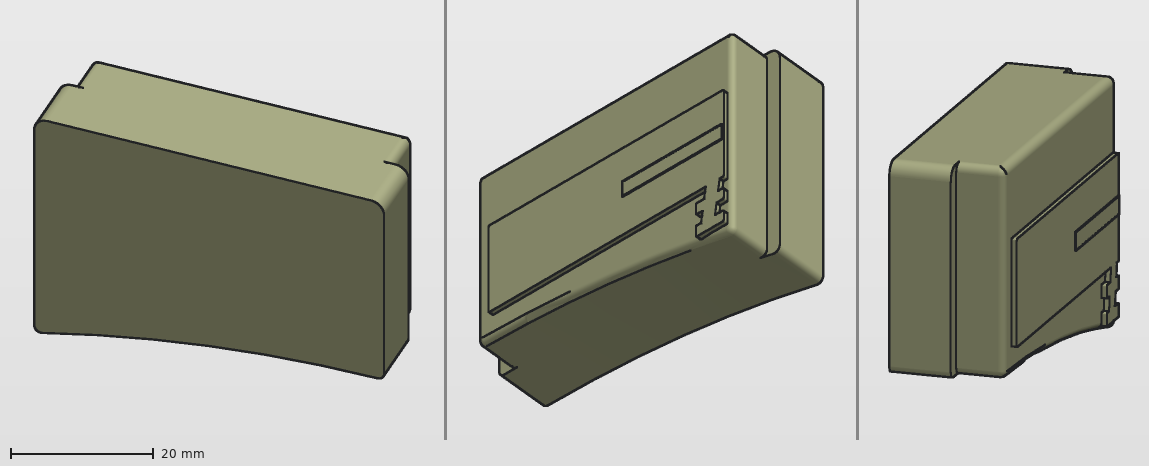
import cadquery as cq
import math

WIDTH = 53.0
HEIGHT = 37.3
BASE_DEPTH = 9.1
BODY_DEPTH = 16.3
PANEL_DEPTH = 17.1
LABEL_DEPTH = 17.3

UNDERSIDE_RADIUS = 200.0
UNDERSIDE_CREST_X = 51.55
UNDERSIDE_CREST_Z = -30.85

BASE_TOP_RADIUS = 2.0
BASE_BOTTOM_RADIUS = 1.0
BODY_INSET = 2.4
BODY_TOP_RADIUS = 1.25
BODY_BOTTOM_RADIUS = 1.0
BODY_EDGE_RADIUS = 0.95
BODY_TOP_EDGE_RADIUS = 1.25

PANEL_LEFT = 3.35
PANEL_CORNER_RADIUS = 0.25
SCREEN_RIGHT = 47.8
SCREEN_TOP = -11.0
SCREEN_HEIGHT = 15.85
KEY_WIDTH = 5.3
KEY_HEIGHT = 2.0
KEY_PITCH = 4.1
KEY_COUNT = 2
WEB_SETBACK = 0.8
WEB_WIDTH = 2.65
WEB_SLANT = 8.0

LABEL_LEFT = 3.65
LABEL_TOP = -17.2
LABEL_WIDTH = 18.8
LABEL_HEIGHT = 2.7


def underside_z(x):
    """Height of the concave underside at a given x."""
    run = x - UNDERSIDE_CREST_X
    return UNDERSIDE_CREST_Z - UNDERSIDE_RADIUS + math.sqrt(UNDERSIDE_RADIUS**2 - run**2)


def back_plane(y):
    """Sketch plane at depth y, with local axes along X and Z."""
    return cq.Workplane("XZ", origin=(0, y, 0))


def arched_block(left, right, depth, top_radius, bottom_radius):
    """Block from y = 0 to depth with a flat top, a concave underside and rounded corners."""
    middle = (left + right) / 2
    block = (
        back_plane(0)
        .moveTo(left, 0)
        .lineTo(right, 0)
        .lineTo(right, underside_z(right))
        .threePointArc((middle, underside_z(middle)), (left, underside_z(left)))
        .close()
        .extrude(-depth)
    )
    block = block.faces(">Z").edges("|Y").fillet(top_radius)
    underside_point = (middle, depth / 2, underside_z(middle))
    underside = block.faces(cq.NearestToPointSelector(underside_point))
    return underside.edges("|Y").fillet(bottom_radius)


def raised_rectangle(left, top, width, height, start, end):
    """Rectangular pad between depths start and end, placed by its top left corner."""
    return (
        back_plane(start)
        .center(left + width / 2, top - height / 2)
        .rect(width, height)
        .extrude(start - end)
    )


def rounded_pad(pad):
    """Round the upright corners of a raised pad."""
    return pad.edges("|Y").fillet(PANEL_CORNER_RADIUS)


base = arched_block(0, WIDTH, BASE_DEPTH, BASE_TOP_RADIUS, BASE_BOTTOM_RADIUS)
body = arched_block(BODY_INSET, WIDTH - BODY_INSET, BODY_DEPTH, BODY_TOP_RADIUS, BODY_BOTTOM_RADIUS)
body = body.faces(">Y").edges().fillet(BODY_EDGE_RADIUS)

top_edge_limit = (
    cq.Workplane("XY")
    .box(WIDTH, BODY_DEPTH, HEIGHT, centered=(False, False, False))
    .translate((0, 0, -HEIGHT))
    .edges(">Y and >Z")
    .fillet(BODY_TOP_EDGE_RADIUS)
)
body = body.intersect(top_edge_limit)

screen_width = SCREEN_RIGHT - PANEL_LEFT
screen = raised_rectangle(PANEL_LEFT, SCREEN_TOP, screen_width, SCREEN_HEIGHT, BASE_DEPTH, PANEL_DEPTH)
result = base.union(body).union(rounded_pad(screen))

screen_bottom = SCREEN_TOP - SCREEN_HEIGHT
for row in range(1, KEY_COUNT + 1):
    key_top = screen_bottom - row * KEY_PITCH + KEY_HEIGHT
    key = raised_rectangle(PANEL_LEFT, key_top, KEY_WIDTH, KEY_HEIGHT, BASE_DEPTH, PANEL_DEPTH)
    result = result.union(rounded_pad(key))

web_height = KEY_COUNT * KEY_PITCH - KEY_HEIGHT / 2
web_left = PANEL_LEFT + WEB_SETBACK
web_shift = web_height * math.tan(math.radians(WEB_SLANT))
web = (
    back_plane(BASE_DEPTH)
    .moveTo(web_left, screen_bottom)
    .lineTo(web_left + WEB_WIDTH, screen_bottom)
    .lineTo(web_left + WEB_WIDTH + web_shift, screen_bottom - web_height)
    .lineTo(web_left + web_shift, screen_bottom - web_height)
    .close()
    .extrude(BASE_DEPTH - PANEL_DEPTH)
)
result = result.union(web)

label = raised_rectangle(LABEL_LEFT, LABEL_TOP, LABEL_WIDTH, LABEL_HEIGHT, BASE_DEPTH, LABEL_DEPTH)
result = result.union(label)